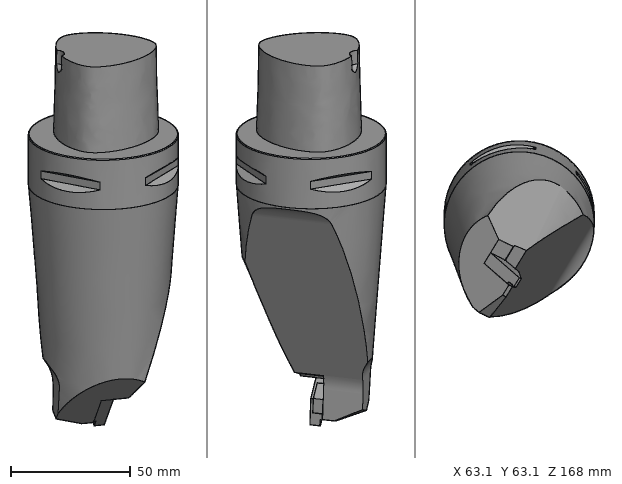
import cadquery as cq
import math

shank_length = 38.0
polygon_diameter = 44.1
polygon_eccentricity = 1.7
polygon_points = 48
shank_taper = 1 / 20
key_radius = 4.5
key_axis_y = -21.7
key_depth = 6.1
flange_diameter = 63.1
flange_height = 22.4
flange_chamfer = 0.4
groove_count = 4
groove_z = -11.9
groove_depth = 3.4
groove_floor_height = 3.4
groove_mouth_height = 7.6
neck_top_diameter = 63.0
neck_taper = 0.0745
tip_z = -130.0
bottom_slope = 1.155
tip_x = 0.2
relief_top = (-25.3, -30.2)
relief_bottom = (1.25, -107.8)
relief_runout = (-32.0, -23.0)
blade_fillet_end = (1.7, -114.1)
blade_face_end = (0.4, -127.1)
blade_clearance_angle = 22.0
blade_corner_y = -10.0
blade_corner_slope = 0.486
side_flat_y = -22.4
side_flat_top = -107.3
side_fillet_radius = 12.5
side_fillet_height = 6.6
back_relief_top = -54.0
back_relief_turn = 6.5
back_relief_slope = 0.398
seat_wall_y = -4.9
insert_front_y = 0.4
seat_roof = [(6.9, -110.2), (7.2, -111.3)]
seat_roof_slope = 0.34
insert_kink = (0.4, -118.3)
insert_edge = (-0.75, -129.6)
insert_relief_z = -127.0
insert_edge_y = -4.0
chip_groove_depth = 0.4
chip_groove_y = -0.7
chip_groove_top = -113.0
chip_groove_bottom = -124.4

reach = 100.0
overlap = 1.0


def bottom_z(x):
    """Height of the slanted bottom plane at a given X."""
    return tip_z + bottom_slope * (x - tip_x)


def slab_xz(profile, y_low, y_high):
    """Extrude a closed XZ sketch between two Y positions."""
    return profile.extrude(y_high - y_low).translate((0, y_high, 0))


def polygon_wire(diameter, z):
    """Three-lobed polygon outline with a lobe pointing to +Y."""
    def point(turn):
        lobe = diameter / 2 * math.cos(turn)
        side = diameter / 2 * math.sin(turn)
        e = polygon_eccentricity
        along = lobe + 2 * e * math.cos(2 * turn) - e * math.cos(4 * turn)
        across = side - 2 * e * math.sin(2 * turn) - e * math.sin(4 * turn)
        return (across, along, z)

    points = [cq.Vector(*point(2 * math.pi * i / polygon_points)) for i in range(polygon_points)]
    return cq.Wire.assembleEdges([cq.Edge.makeSpline(points, periodic=True)])


def make_shank():
    top_diameter = polygon_diameter - shank_taper * shank_length
    shank = cq.Workplane(cq.Solid.makeLoft(
        [polygon_wire(polygon_diameter, 0), polygon_wire(top_diameter, shank_length)], True))
    key = (cq.Workplane("XZ")
           .moveTo(0, shank_length + overlap)
           .lineTo(key_radius, shank_length + overlap)
           .lineTo(key_radius, shank_length - key_depth)
           .lineTo(0, shank_length - key_depth - key_radius)
           .close()
           .revolve(360, (0, 0, 0), (0, 1, 0))
           .translate((0, key_axis_y, 0)))
    return shank.cut(key)


def make_flange():
    flange = (cq.Workplane("XY").circle(flange_diameter / 2).extrude(-flange_height)
              .faces(">Z").edges().chamfer(flange_chamfer))
    radius = flange_diameter / 2
    groove = (cq.Workplane("YZ")
              .moveTo(radius - groove_depth, groove_z - groove_floor_height / 2)
              .lineTo(radius, groove_z - groove_mouth_height / 2)
              .lineTo(radius + overlap, groove_z - groove_mouth_height / 2)
              .lineTo(radius + overlap, groove_z + groove_mouth_height / 2)
              .lineTo(radius, groove_z + groove_mouth_height / 2)
              .lineTo(radius - groove_depth, groove_z + groove_floor_height / 2)
              .close()
              .extrude(radius, both=True))
    for index in range(groove_count):
        angle = 45 + index * 360 / groove_count
        flange = flange.cut(groove.rotate((0, 0, 0), (0, 0, 1), angle))
    return flange


def make_neck_cone():
    top_radius = neck_top_diameter / 2
    tip_radius = top_radius + neck_taper * (tip_z + flange_height)
    return (cq.Workplane("XZ")
            .moveTo(0, -flange_height)
            .lineTo(top_radius, -flange_height)
            .lineTo(tip_radius, tip_z)
            .lineTo(0, tip_z)
            .close()
            .revolve(360, (0, 0, 0), (0, 1, 0)))


def make_front_relief():
    """Sloped -X face with its runout fillet, continuing as the blade face."""
    slope = (relief_bottom[0] - relief_top[0], relief_bottom[1] - relief_top[1])
    profile = (cq.Workplane("XZ")
               .moveTo(*relief_bottom)
               .lineTo(*relief_top)
               .tangentArcPoint(relief_runout, relative=False)
               .lineTo(-reach, relief_runout[1])
               .lineTo(-reach, -2 * reach)
               .lineTo(blade_face_end[0], -2 * reach)
               .lineTo(*blade_face_end)
               .lineTo(*blade_fillet_end))
    chord = (blade_fillet_end[0] - relief_bottom[0], blade_fillet_end[1] - relief_bottom[1])
    turn = math.atan2(slope[0], -slope[1]) - math.atan2(chord[0], -chord[1])
    bulge = math.hypot(*chord) / 2 * math.tan(turn / 2)
    middle = ((relief_bottom[0] + blade_fillet_end[0]) / 2 + bulge,
              (relief_bottom[1] + blade_fillet_end[1]) / 2)
    return slab_xz(profile.threePointArc(middle, relief_bottom).close(), -reach, reach)


def make_bottom_cut():
    profile = (cq.Workplane("XZ")
               .moveTo(-reach, bottom_z(-reach))
               .lineTo(reach, bottom_z(reach))
               .lineTo(reach, bottom_z(-reach))
               .close())
    return slab_xz(profile, -reach, reach)


def make_back_relief():
    """Relief on the +Y side: a cone towards -X that runs on as a tangent plane towards +X."""
    top_y = neck_top_diameter / 2 + neck_taper * (back_relief_top + flange_height)
    apex_z = back_relief_top - top_y / back_relief_slope
    profile = (cq.Workplane("YZ")
               .moveTo(top_y, back_relief_top)
               .lineTo(0, apex_z)
               .lineTo(reach, apex_z)
               .lineTo(reach, back_relief_top)
               .close())
    plane_part = profile.extrude(reach)
    cone_part = profile.toPending().revolve(90, (0, 0, 0), (0, 1, 0))
    return plane_part.union(cone_part).rotate((0, 0, 0), (0, 0, 1), back_relief_turn)


def make_side_flat():
    """Flat on the -Y side, running out upwards through a fillet and a straight tangent face."""
    arc_angle = math.asin(side_fillet_height / side_fillet_radius)

    def fillet_point(angle):
        return (side_flat_y - side_fillet_radius * (1 - math.cos(angle)),
                side_flat_top + side_fillet_radius * math.sin(angle))

    arc_end = fillet_point(arc_angle)
    exit_rise = side_fillet_radius / math.tan(arc_angle)
    profile = (cq.Workplane("YZ")
               .moveTo(side_flat_y, -2 * reach)
               .lineTo(side_flat_y, side_flat_top)
               .threePointArc(fillet_point(arc_angle / 2), arc_end)
               .lineTo(arc_end[0] - side_fillet_radius, arc_end[1] + exit_rise)
               .lineTo(-reach, arc_end[1] + exit_rise)
               .lineTo(-reach, -2 * reach)
               .close())
    return profile.extrude(reach, both=True)


def make_blade_bottom_cut():
    """Clearance under the blade: level near the insert, rising towards -Y."""
    corner_x, corner_z = blade_face_end
    rise = blade_corner_slope * (reach + blade_corner_y)
    profile = (cq.Workplane("YZ")
               .moveTo(seat_wall_y, corner_z)
               .lineTo(blade_corner_y, corner_z)
               .lineTo(-reach, corner_z + rise)
               .lineTo(-reach, corner_z - reach)
               .lineTo(seat_wall_y, corner_z - reach)
               .close())
    return (profile.extrude(reach, both=True)
            .rotate((corner_x, 0, corner_z), (corner_x, 1, corner_z), blade_clearance_angle))


def seat_roof_exit():
    """Point where the last roof face of the seat meets the slanted bottom."""
    start_x, start_z = seat_roof[-1]
    run = (start_z - bottom_z(start_x)) / (bottom_slope + seat_roof_slope)
    return (start_x + run, start_z - seat_roof_slope * run)


def make_seat_cut():
    """Opening for the insert, also clearing the +Y side below its stepped roof."""
    exit_x, exit_z = seat_roof_exit()
    profile = (cq.Workplane("XZ")
               .polyline([relief_bottom, *seat_roof, (exit_x, exit_z)])
               .lineTo(exit_x, -2 * reach)
               .lineTo(-reach, -2 * reach)
               .lineTo(-reach, relief_bottom[1])
               .close())
    return slab_xz(profile, seat_wall_y, reach)


def make_holder():
    neck = make_neck_cone()
    for cutter in (make_front_relief(), make_bottom_cut(), make_back_relief(),
                   make_side_flat(), make_blade_bottom_cut(), make_seat_cut()):
        neck = neck.cut(cutter)
    return make_flange().union(make_shank()).union(neck).solids()


def make_insert():
    profile = (cq.Workplane("XZ")
               .polyline([seat_roof[-1], insert_kink, insert_edge, (tip_x, tip_z),
                          seat_roof_exit()])
               .close())
    insert = slab_xz(profile, seat_wall_y, insert_front_y)
    edge_relief = (cq.Workplane("XY").box(reach, reach, reach)
                   .translate((0, insert_edge_y - reach / 2, insert_relief_z - reach / 2)))
    groove_outline = (cq.Workplane("XZ")
                      .polyline([seat_roof[-1], insert_kink, insert_edge,
                                 (-reach, insert_edge[1]), (-reach, seat_roof[-1][1])])
                      .close())
    groove = slab_xz(groove_outline, seat_wall_y, chip_groove_y).translate((chip_groove_depth, 0, 0))
    groove_height = chip_groove_top - chip_groove_bottom
    groove_span = (cq.Workplane("XY").box(reach, reach, groove_height)
                   .translate((0, 0, (chip_groove_top + chip_groove_bottom) / 2)))
    return insert.cut(edge_relief).cut(groove.intersect(groove_span))


holder = make_holder()
insert = make_insert().solids()

result = cq.Compound.makeCompound([holder.val(), insert.val()])